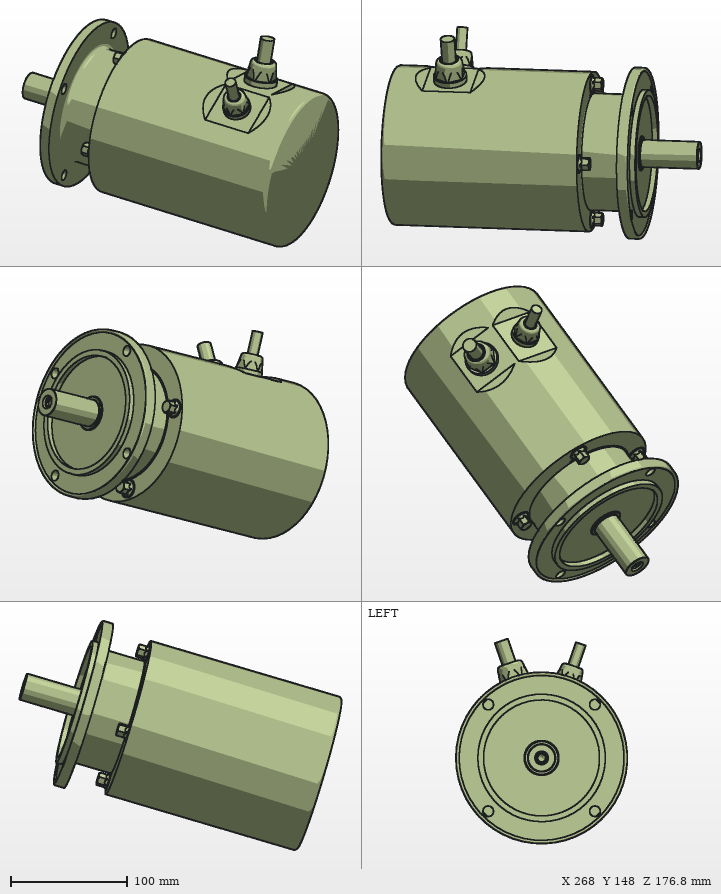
import cadquery as cq
import math


DIAGONAL = math.sqrt(0.5)

PILOT_FRONT = 46.0
FLANGE_FRONT = 51.0
FLANGE_BACK = 58.7
BODY_FRONT = 94.5
BODY_RIM = 266.7
MOTOR_LENGTH = 268.0

SHAFT_DIAMETER = 23.5
SHAFT_CHAMFER = 0.3
SHOULDER_DIAMETER = 24.0
SHOULDER_HEIGHT = 0.5
CENTRE_MOUTH_DIAMETER = 11.5
CENTRE_RELIEF_DIAMETER = 9.0
CENTRE_BORE_DIAMETER = 7.0
CENTRE_MOUTH_DEPTH = 2.0
CENTRE_RELIEF_DEPTH = 3.8
CENTRE_BORE_DEPTH = 16.0
DRILL_POINT_ANGLE = 118.0

PILOT_DIAMETER = 110.0
RECESS_DIAMETER = 100.0
SEAL_DIAMETER = 30.0
SEAL_HEIGHT = 0.8
FLANGE_DIAMETER = 148.0
RIM_BEAD_DIAMETER = 142.0
FLANGE_HOLE_DIAMETER = 9.0
FLANGE_HOLE_CIRCLE = 130.0
FLANGE_HOLE_COUNT = 4

NECK_DIAMETER = 101.0
NECK_FLANGE_FILLET = 3.8
NECK_BODY_FILLET = 0.8
BODY_DIAMETER = 138.0
BODY_EDGE_FILLET = 3.2

SCREW_CIRCLE = 118.2
SCREW_COUNT = 4
SCREW_HEAD_FRONT = 85.0
SCREW_HEAD_CORNERS = 11.5
SCREW_HEAD_CHAMFER = 0.8
SCREW_NECK_FRONT = 90.9
SCREW_NECK_DIAMETER = 9.6
SCREW_SKIRT_FRONT = 92.7
SCREW_SKIRT_DIAMETER = 14.2
SCREW_WASHER_DIAMETER = 16.0
SCREW_WASHER_THICKNESS = 0.5

GLAND_X = 214.5
GLAND_TILT = 19.0
SEAT_HEIGHT = 66.0
SEAT_LENGTH = 42.0
SEAT_END_SLOPE = 19.0
SEAT_CUT_CLEARANCE = 2.7

LARGE_GLAND = dict(
    collar_diameter=28.5,
    collar_top=70.8,
    across_flats=23.3,
    nut_base_diameter=26.3,
    nut_shoulder_diameter=22.8,
    nut_shoulder=82.8,
    nut_top=86.3,
    mouth_diameter=16.0,
    mouth_floor_diameter=14.2,
    cable_diameter=12.0,
    cable_end=106.7,
)
SMALL_GLAND = dict(
    collar_diameter=23.5,
    collar_top=70.2,
    across_flats=20.0,
    nut_base_diameter=23.0,
    nut_shoulder_diameter=19.3,
    nut_shoulder=80.7,
    nut_top=84.0,
    mouth_diameter=11.5,
    mouth_floor_diameter=11.0,
    cable_diameter=9.0,
    cable_end=104.0,
)
MOUTH_DEPTH = 0.8


def cylinder(start, end, diameter):
    """Cylinder on the X axis between two stations."""
    return cq.Workplane("YZ", origin=(start, 0, 0)).circle(diameter / 2).extrude(end - start)


def revolve_about_x(points):
    """Solid of revolution about X from (x, radius) points that start and end on the axis."""
    return cq.Workplane("XY").polyline(points).close().revolve(360, (0, 0, 0), (1, 0, 0))


def make_shaft():
    """Shaft with its shoulder and a stepped centre hole in the free end."""
    shaft = cylinder(0, FLANGE_FRONT, SHAFT_DIAMETER).faces("<X").chamfer(SHAFT_CHAMFER)
    shoulder_front = FLANGE_FRONT - SEAL_HEIGHT - SHOULDER_HEIGHT
    shaft = shaft.union(cylinder(shoulder_front, FLANGE_FRONT, SHOULDER_DIAMETER))
    bore_radius = CENTRE_BORE_DIAMETER / 2
    relief_radius = CENTRE_RELIEF_DIAMETER / 2
    point_length = bore_radius / math.tan(math.radians(DRILL_POINT_ANGLE / 2))
    centre_hole = revolve_about_x([
        (0, 0),
        (0, CENTRE_MOUTH_DIAMETER / 2),
        (CENTRE_MOUTH_DEPTH, relief_radius),
        (CENTRE_RELIEF_DEPTH, relief_radius),
        (CENTRE_RELIEF_DEPTH + relief_radius - bore_radius, bore_radius),
        (CENTRE_BORE_DEPTH, bore_radius),
        (CENTRE_BORE_DEPTH + point_length, 0),
    ])
    return shaft.cut(centre_hole)


def make_rim_bead():
    """Half-round bead along the outer edge of the flange front."""
    inner_radius = RIM_BEAD_DIAMETER / 2
    outer_radius = FLANGE_DIAMETER / 2
    bead_radius = (outer_radius - inner_radius) / 2
    return (
        cq.Workplane("XY")
        .moveTo(FLANGE_FRONT, inner_radius)
        .threePointArc(
            (FLANGE_FRONT - bead_radius, inner_radius + bead_radius),
            (FLANGE_FRONT, outer_radius),
        )
        .close()
        .revolve(360, (0, 0, 0), (1, 0, 0))
    )


def make_flange():
    """Flange with its rim bead, hollow pilot, bevelled shaft seal and mounting holes."""
    flange = cylinder(FLANGE_FRONT, FLANGE_BACK, FLANGE_DIAMETER)
    flange = flange.union(make_rim_bead())
    flange = flange.union(cylinder(PILOT_FRONT, FLANGE_FRONT, PILOT_DIAMETER))
    flange = flange.cut(cylinder(PILOT_FRONT, FLANGE_FRONT, RECESS_DIAMETER))
    seal_radius = SEAL_DIAMETER / 2
    seal = revolve_about_x([
        (FLANGE_FRONT - SEAL_HEIGHT, 0),
        (FLANGE_FRONT - SEAL_HEIGHT, seal_radius - SEAL_HEIGHT),
        (FLANGE_FRONT, seal_radius),
        (FLANGE_FRONT, 0),
    ])
    flange = flange.union(seal)
    holes = (
        cq.Workplane("YZ", origin=(FLANGE_FRONT, 0, 0))
        .polarArray(FLANGE_HOLE_CIRCLE / 2, 180 / FLANGE_HOLE_COUNT, 360, FLANGE_HOLE_COUNT)
        .circle(FLANGE_HOLE_DIAMETER / 2)
        .extrude(FLANGE_BACK - FLANGE_FRONT)
    )
    return flange.cut(holes)


def make_neck():
    """Neck with concave fillets where it meets the flange and the body."""
    radius = NECK_DIAMETER / 2

    def fillet_mid(size):
        """Distance from either tangent line to the middle of a concave fillet."""
        return size * (1 - DIAGONAL)

    return (
        cq.Workplane("XY")
        .moveTo(FLANGE_BACK, 0)
        .lineTo(FLANGE_BACK, radius + NECK_FLANGE_FILLET)
        .threePointArc(
            (FLANGE_BACK + fillet_mid(NECK_FLANGE_FILLET), radius + fillet_mid(NECK_FLANGE_FILLET)),
            (FLANGE_BACK + NECK_FLANGE_FILLET, radius),
        )
        .lineTo(BODY_FRONT - NECK_BODY_FILLET, radius)
        .threePointArc(
            (BODY_FRONT - fillet_mid(NECK_BODY_FILLET), radius + fillet_mid(NECK_BODY_FILLET)),
            (BODY_FRONT, radius + NECK_BODY_FILLET),
        )
        .lineTo(BODY_FRONT, 0)
        .close()
        .revolve(360, (0, 0, 0), (1, 0, 0))
    )


def make_body():
    """Motor body with a rounded rear edge and a slightly domed rear face."""
    radius = BODY_DIAMETER / 2
    rim_radius = radius - BODY_EDGE_FILLET
    arc_offset = BODY_EDGE_FILLET * DIAGONAL
    fillet_start = BODY_RIM - BODY_EDGE_FILLET
    dome_height = MOTOR_LENGTH - BODY_RIM
    dome_radius = (rim_radius**2 + dome_height**2) / (2 * dome_height)
    dome_mid_radius = rim_radius / 2
    dome_mid_x = MOTOR_LENGTH - dome_radius + math.sqrt(dome_radius**2 - dome_mid_radius**2)
    return (
        cq.Workplane("XY")
        .moveTo(BODY_FRONT, 0)
        .lineTo(BODY_FRONT, radius)
        .lineTo(fillet_start, radius)
        .threePointArc((fillet_start + arc_offset, rim_radius + arc_offset), (BODY_RIM, rim_radius))
        .threePointArc((dome_mid_x, dome_mid_radius), (MOTOR_LENGTH, 0))
        .close()
        .revolve(360, (0, 0, 0), (1, 0, 0))
    )


def make_screw(angle):
    """Hexagon screw head with a flange, standing on the front of the body."""
    head = (
        cq.Workplane("YZ", origin=(SCREW_HEAD_FRONT, 0, 0))
        .polygon(6, SCREW_HEAD_CORNERS)
        .extrude(BODY_FRONT - SCREW_HEAD_FRONT)
    )
    corner_radius = SCREW_HEAD_CORNERS / 2
    rounding_cone = revolve_about_x([
        (SCREW_HEAD_FRONT, 0),
        (SCREW_HEAD_FRONT, corner_radius - SCREW_HEAD_CHAMFER),
        (SCREW_HEAD_FRONT + SCREW_HEAD_CHAMFER, corner_radius),
        (BODY_FRONT, corner_radius),
        (BODY_FRONT, 0),
    ])
    head = head.intersect(rounding_cone)
    washer_front = BODY_FRONT - SCREW_WASHER_THICKNESS
    washer_radius = SCREW_WASHER_DIAMETER / 2
    skirt = revolve_about_x([
        (SCREW_NECK_FRONT, 0),
        (SCREW_NECK_FRONT, SCREW_NECK_DIAMETER / 2),
        (SCREW_SKIRT_FRONT, corner_radius),
        (washer_front, SCREW_SKIRT_DIAMETER / 2),
        (washer_front, washer_radius),
        (BODY_FRONT, washer_radius),
        (BODY_FRONT, 0),
    ])
    screw = head.union(skirt).translate((0, SCREW_CIRCLE / 2, 0))
    return screw.rotate((0, 0, 0), (1, 0, 0), angle)


def tilt_gland(shape, side):
    """Move a shape built along Z to the gland place, tilted to +Y (side 1) or -Y (side -1)."""
    return shape.rotate((0, 0, 0), (1, 0, 0), -side * GLAND_TILT).translate((GLAND_X, 0, 0))


def make_seat_cutter(side):
    """Flat-bottomed cut with sloping ends, across the body."""
    cut_height = BODY_DIAMETER / 2 - SEAT_HEIGHT + SEAT_CUT_CLEARANCE
    half_bottom = SEAT_LENGTH / 2
    half_top = half_bottom + cut_height / math.tan(math.radians(SEAT_END_SLOPE))
    cutter = (
        cq.Workplane("XZ")
        .polyline([
            (-half_bottom, SEAT_HEIGHT),
            (half_bottom, SEAT_HEIGHT),
            (half_top, SEAT_HEIGHT + cut_height),
            (-half_top, SEAT_HEIGHT + cut_height),
        ])
        .close()
        .extrude(BODY_DIAMETER / 2, both=True)
    )
    return tilt_gland(cutter, side)


def make_motor():
    """Body, neck, flange, shaft and screws as one solid."""
    body = make_body()
    for side in (1, -1):
        body = body.cut(make_seat_cutter(side))
    motor = body.union(make_neck()).union(make_flange()).union(make_shaft())
    for index in range(SCREW_COUNT):
        motor = motor.union(make_screw(index * 360 / SCREW_COUNT))
    return motor


def make_gland(
    side,
    collar_diameter,
    collar_top,
    across_flats,
    nut_base_diameter,
    nut_shoulder_diameter,
    nut_shoulder,
    nut_top,
    mouth_diameter,
    mouth_floor_diameter,
    cable_diameter,
    cable_end,
):
    """Cable gland with its collar, tapered hexagon nut and cable, standing on its seat."""
    collar = (
        cq.Workplane("XY", origin=(0, 0, SEAT_HEIGHT))
        .circle(collar_diameter / 2)
        .extrude(collar_top - SEAT_HEIGHT)
    )
    shoulder_radius = nut_shoulder_diameter / 2
    rounding = nut_top - nut_shoulder
    top_radius = shoulder_radius - rounding
    arc_offset = rounding * DIAGONAL
    taper_nut = (
        cq.Workplane("XZ")
        .moveTo(0, collar_top)
        .lineTo(nut_base_diameter / 2, collar_top)
        .lineTo(shoulder_radius, nut_shoulder)
        .threePointArc((top_radius + arc_offset, nut_shoulder + arc_offset), (top_radius, nut_top))
        .lineTo(0, nut_top)
        .close()
        .revolve(360, (0, 0, 0), (0, 1, 0))
    )
    hexagon = (
        cq.Workplane("XY", origin=(0, 0, collar_top))
        .polygon(6, across_flats / math.cos(math.pi / 6))
        .extrude(nut_top - collar_top)
        .rotate((0, 0, 0), (0, 0, 1), 90)
    )
    nut = taper_nut.intersect(hexagon)
    mouth = (
        cq.Workplane("XY", origin=(0, 0, nut_top - MOUTH_DEPTH))
        .circle(mouth_floor_diameter / 2)
        .workplane(offset=MOUTH_DEPTH)
        .circle(mouth_diameter / 2)
        .loft(ruled=True)
    )
    cable = (
        cq.Workplane("XY", origin=(0, 0, collar_top))
        .circle(cable_diameter / 2)
        .extrude(cable_end - collar_top)
    )
    gland = collar.union(nut.cut(mouth)).union(cable)
    return tilt_gland(gland, side)


motor = make_motor()
glands = [make_gland(1, **LARGE_GLAND), make_gland(-1, **SMALL_GLAND)]
result = cq.Compound.makeCompound([motor.val()] + [gland.val() for gland in glands])